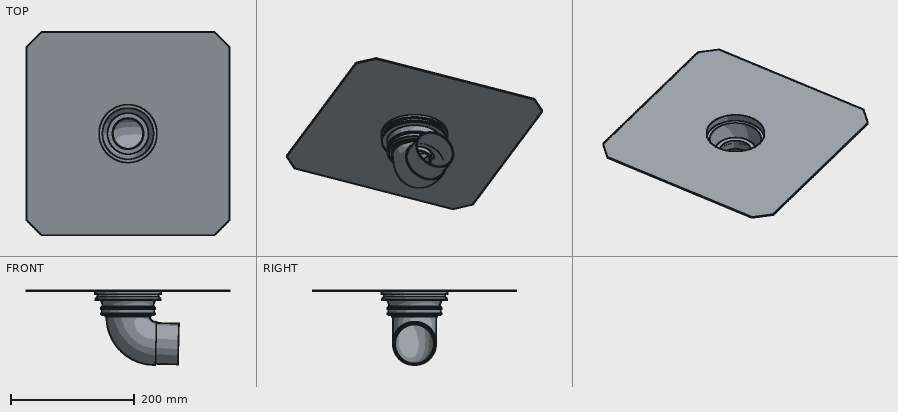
import cadquery as cq
import math

sheet_side = 330.0
sheet_thickness = 2.0
corner_cut = 24.8

flange_radius = 108.0 / 2
flange_depth = 6.5
neck_radius = 100.0 / 2
neck_depth = 10.5
lip_radius = 106.0 / 2
lip_top_depth = 14.5
lip_bottom_depth = 16.5
waist_top_radius = 44.5
waist_radius = 41.5
waist_bottom_depth = 26.0
bead_radius = 88.0 / 2
upper_bead_top_depth = 28.7
upper_bead_bottom_depth = 31.5
groove_radius = 43.0
lower_bead_top_depth = 37.5
lower_bead_bottom_depth = 39.0
body_bottom_depth = 41.0
body_bottom_radius = 41.0
socket_radius = 74.0 / 2

mouth_radius = 94.0 / 2
ledge_depth = 12.5
bowl_top_radius = 41.5
bowl_floor_radius = 66.5 / 2
bowl_floor_depth = 36.3
bowl_bulge = 1.3
drain_top_radius = 25.5
drain_bottom_radius = 24.5
spout_radius = 27.0
spout_bottom_depth = 52.8

elbow_radius = 70.5 / 2
bore_radius = 63.0 / 2
bend_radius = 43.5
bend_angle = 88.5
elbow_start_depth = 43.0
collar_length = 3.0
outlet_radius = 66.5 / 2
outlet_length = 36.5


def make_sheet():
    sheet = cq.Workplane("XY").rect(sheet_side, sheet_side).extrude(-sheet_thickness)
    return sheet.edges("|Z").chamfer(corner_cut)


def revolve_about_z(profile):
    """Revolve a closed XZ profile, whose local y is world Z, about the Z axis."""
    return profile.close().revolve(360, (0, 0), (0, 1))


def make_body():
    waist_mid_radius = waist_radius + (waist_top_radius - waist_radius) / 4
    waist_mid_depth = (lip_bottom_depth + waist_bottom_depth) / 2
    profile = (
        cq.Workplane("XZ")
        .lineTo(flange_radius, 0)
        .lineTo(flange_radius, -flange_depth)
        .lineTo(neck_radius, -flange_depth)
        .lineTo(neck_radius, -neck_depth)
        .lineTo(lip_radius, -lip_top_depth)
        .lineTo(lip_radius, -lip_bottom_depth)
        .lineTo(waist_top_radius, -lip_bottom_depth)
        .threePointArc((waist_mid_radius, -waist_mid_depth), (waist_radius, -waist_bottom_depth))
        .lineTo(bead_radius, -upper_bead_top_depth)
        .lineTo(bead_radius, -upper_bead_bottom_depth)
        .lineTo(groove_radius, -upper_bead_bottom_depth)
        .lineTo(groove_radius, -lower_bead_top_depth)
        .lineTo(bead_radius, -lower_bead_top_depth)
        .lineTo(bead_radius, -lower_bead_bottom_depth)
        .lineTo(body_bottom_radius, -body_bottom_depth)
        .lineTo(socket_radius, -body_bottom_depth)
        .lineTo(socket_radius, -elbow_start_depth)
        .lineTo(0, -elbow_start_depth)
    )
    return revolve_about_z(profile)


def make_bowl_cavity():
    bulge_radius = (bowl_top_radius + bowl_floor_radius) / 2 + bowl_bulge
    bulge_depth = (ledge_depth + bowl_floor_depth) / 2
    profile = (
        cq.Workplane("XZ")
        .lineTo(mouth_radius, 0)
        .lineTo(mouth_radius, -ledge_depth)
        .lineTo(bowl_top_radius, -ledge_depth)
        .threePointArc((bulge_radius, -bulge_depth), (bowl_floor_radius, -bowl_floor_depth))
        .lineTo(drain_top_radius, -bowl_floor_depth)
        .lineTo(drain_bottom_radius, -spout_bottom_depth)
        .lineTo(0, -spout_bottom_depth)
    )
    return revolve_about_z(profile)


def make_spout():
    """Solid core of the drain spout that hangs from the bowl floor into the elbow."""
    spout = cq.Workplane("XY", origin=(0, 0, -bowl_floor_depth)).circle(spout_radius)
    return spout.extrude(bowl_floor_depth - spout_bottom_depth)


def make_bend(radius):
    """Solid pipe bend turning from straight down toward +X."""
    return (
        cq.Workplane("XY", origin=(0, 0, -elbow_start_depth))
        .circle(radius)
        .revolve(bend_angle, (bend_radius, 0), (bend_radius, -1))
    )


def make_outlet(radius, length):
    """Solid cylinder continuing along the pipe axis from the end of the bend."""
    angle = math.radians(bend_angle)
    end_x = bend_radius * (1 - math.cos(angle))
    end_z = -elbow_start_depth - bend_radius * math.sin(angle)
    direction = (math.sin(angle), 0, -math.cos(angle))
    plane = cq.Plane(origin=(end_x, 0, end_z), xDir=(0, 1, 0), normal=direction)
    return cq.Workplane(plane).circle(radius).extrude(length)


pipe_length = collar_length + outlet_length
outside = (
    make_sheet()
    .union(make_body())
    .union(make_bend(elbow_radius))
    .union(make_outlet(elbow_radius, collar_length))
    .union(make_outlet(outlet_radius, pipe_length))
)
result = (
    outside
    .cut(make_bend(bore_radius))
    .cut(make_outlet(bore_radius, pipe_length))
    .union(make_spout())
    .cut(make_bowl_cavity())
)